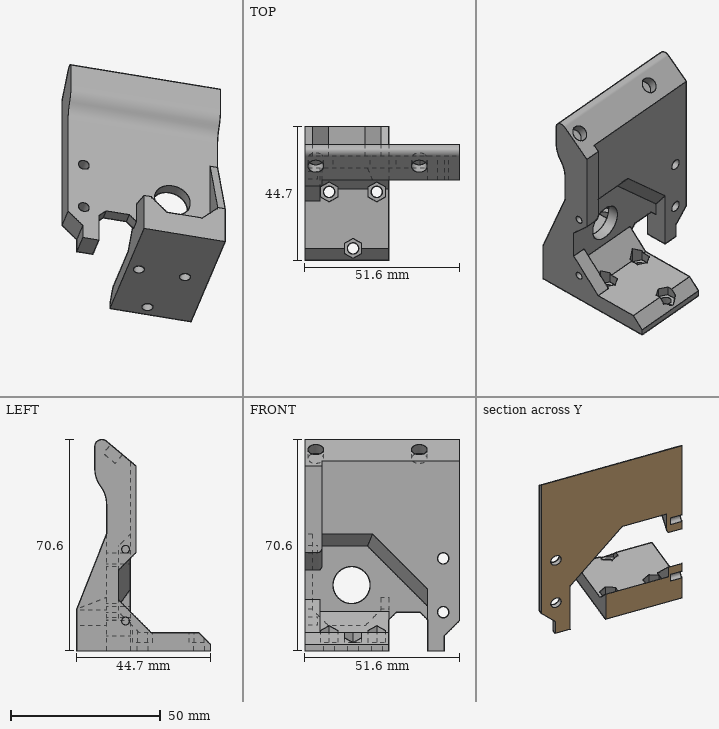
import cadquery as cq
import math

WIDTH = 51.6
DEPTH = 44.7
HEIGHT = 70.6

PLATE_FRONT = 26.75
PLATE_BACK = 34.7
HEAD_BACK = 38.7
HEAD_SLOPE = math.radians(40)
HEAD_ROUND = 2.4
S_CURVE_TOP = 60.85
S_CURVE_RADIUS = 9.9

POCKET_FLOOR = 30.8
POCKET_TOP = 39.05
POCKET_CORNER_X = 22.6
POCKET_RIGHT = 40.95

LEG_CHAMFER = 5.1
LEG_TIP_HEIGHT = 5.1
ARCH_TOP = 12.9
ARCH_CHAMFER = 2.5

FOOT_WIDTH = 28.0
FOOT_TOP = 6.15
FOOT_BEVEL = 3.95
FOOT_RAMP_START = 23.8
BUTTRESS_LOW = 14.0
BUTTRESS_HIGH = 39.1

UPPER_RIB_WIDTH = 5.7
LOWER_RIB_WIDTH = 5.15
RIB_FRONT = 24.85
UPPER_RIB_BOTTOM = 27.0
LOWER_RIB_TOP = 17.15
UPPER_RIB_ROUND = 1.1

TROUGH_LEFT = 2.6
TROUGH_RIGHT = 25.4
TROUGH_CHAMFER = 5.3
TROUGH_FLOOR = 8.5
SHOULDER_HIGH = 17.9

BORE_DIAMETER = 12.3
BORE_X = 15.6
BORE_Z = 22.0
SCREW_DIAMETER = 3.7
PLATE_HOLE_X = 46.2
PLATE_HOLE_HEIGHTS = (13.0, 30.9)
FOOT_HOLES = ((8.1, 22.8), (24.0, 22.8), (16.1, 3.95))
NUT_FLATS = 5.8
NUT_FLOOR = 2.9
HEAD_HOLE_DIAMETER = 5.2
HEAD_HOLE_DEPTH = 3.8
HEAD_HOLE_XS = (3.7, 38.2)
HEAD_HOLE_Z = 67.2
SIDE_HOLE_DIAMETER = 2.6
SIDE_HOLE_DEPTH = 4.25
SIDE_HOLE_Y = 28.4
SIDE_HOLE_HEIGHTS = (10.0, 33.95)


def side_sketch():
    """Plane on the left side, local axes along Y and Z, extruding toward +X."""
    return cq.Workplane("YZ")


def front_sketch(y):
    """Plane at depth y, local axes along X and Z, extruding toward -Y."""
    return cq.Workplane("XZ", origin=(0, y, 0))


round_y = HEAD_BACK - HEAD_ROUND
round_z = HEIGHT - HEAD_ROUND
slope_end_y = round_y - HEAD_ROUND * math.sin(HEAD_SLOPE)
slope_end_z = round_z + HEAD_ROUND * math.cos(HEAD_SLOPE)


def slope_z(y):
    return slope_end_z - (slope_end_y - y) * math.tan(HEAD_SLOPE)


def upright(front, bottom, width):
    """Slab from the left side with the sloped head and the S-curved back."""
    step = HEAD_BACK - PLATE_BACK
    half_rise = math.sqrt(S_CURVE_RADIUS * step - (step / 2) ** 2)
    return (
        side_sketch()
        .moveTo(front, bottom)
        .lineTo(front, slope_z(front))
        .lineTo(slope_end_y, slope_end_z)
        .threePointArc((round_y, HEIGHT), (HEAD_BACK, round_z))
        .lineTo(HEAD_BACK, S_CURVE_TOP)
        .radiusArc((HEAD_BACK - step / 2, S_CURVE_TOP - half_rise), S_CURVE_RADIUS)
        .radiusArc((PLATE_BACK, S_CURVE_TOP - 2 * half_rise), -S_CURVE_RADIUS)
        .lineTo(PLATE_BACK, bottom)
        .close()
        .extrude(width)
    )


def plate():
    """Full-width plate with its pocket, leg and arch."""
    body = upright(PLATE_FRONT, 0, WIDTH)

    pocket_depth = POCKET_FLOOR - PLATE_FRONT
    diagonal_end = POCKET_CORNER_X + 2 * POCKET_TOP
    pocket = (
        front_sketch(PLATE_FRONT)
        .polyline([
            (-WIDTH, POCKET_TOP),
            (POCKET_CORNER_X, POCKET_TOP),
            (diagonal_end, -POCKET_TOP),
            (-WIDTH, -POCKET_TOP),
        ])
        .close()
        .extrude(-pocket_depth, taper=45)
    )
    left_of_leg = cq.Workplane().box(POCKET_RIGHT, DEPTH, HEIGHT, centered=False)
    body = body.cut(pocket.intersect(left_of_leg))

    leg_right = WIDTH - LEG_CHAMFER
    leg_corner = (
        front_sketch(DEPTH)
        .polyline([
            (leg_right, 0),
            (leg_right, LEG_TIP_HEIGHT),
            (WIDTH, LEG_TIP_HEIGHT + LEG_CHAMFER),
            (WIDTH, 0),
        ])
        .close()
        .extrude(DEPTH)
    )
    arch_side = ARCH_TOP - ARCH_CHAMFER
    arch = (
        front_sketch(DEPTH)
        .polyline([
            (FOOT_WIDTH, 0),
            (FOOT_WIDTH, arch_side),
            (FOOT_WIDTH + ARCH_CHAMFER, ARCH_TOP),
            (POCKET_RIGHT - ARCH_CHAMFER, ARCH_TOP),
            (POCKET_RIGHT, arch_side),
            (POCKET_RIGHT, 0),
        ])
        .close()
        .extrude(DEPTH)
    )
    return body.cut(leg_corner).cut(arch)


def foot():
    """Foot with its ramp up to the plate and the sloped buttress behind."""
    ramp_top = FOOT_TOP + POCKET_FLOOR - FOOT_RAMP_START
    return (
        side_sketch()
        .polyline([
            (0, 0),
            (0, FOOT_TOP - FOOT_BEVEL),
            (FOOT_BEVEL, FOOT_TOP),
            (FOOT_RAMP_START, FOOT_TOP),
            (POCKET_FLOOR, ramp_top),
            (PLATE_BACK, ramp_top),
            (PLATE_BACK, BUTTRESS_HIGH),
            (DEPTH, BUTTRESS_LOW),
            (DEPTH, 0),
        ])
        .close()
        .extrude(FOOT_WIDTH)
    )


def upper_rib():
    """Rib beside the pocket, undercut at 45 degrees with its inner lower edge rounded."""
    rib = upright(RIB_FRONT, UPPER_RIB_BOTTOM, UPPER_RIB_WIDTH)
    rise = POCKET_FLOOR - RIB_FRONT
    corner = (
        side_sketch()
        .polyline([
            (RIB_FRONT, UPPER_RIB_BOTTOM),
            (RIB_FRONT, UPPER_RIB_BOTTOM + rise),
            (POCKET_FLOOR, UPPER_RIB_BOTTOM),
        ])
        .close()
        .extrude(UPPER_RIB_WIDTH)
    )
    middle = (UPPER_RIB_WIDTH, (RIB_FRONT + POCKET_FLOOR) / 2, UPPER_RIB_BOTTOM + rise / 2)
    return rib.cut(corner).edges(cq.NearestToPointSelector(middle)).fillet(UPPER_RIB_ROUND)


def lower_rib():
    """Rib along the left end of the foot ramp."""
    ramp_start = POCKET_FLOOR - (LOWER_RIB_TOP - FOOT_TOP)
    return (
        side_sketch()
        .polyline([
            (ramp_start, FOOT_TOP),
            (POCKET_FLOOR, LOWER_RIB_TOP),
            (POCKET_FLOOR, FOOT_TOP),
        ])
        .close()
        .extrude(LOWER_RIB_WIDTH)
    )


def trough():
    """Open-topped channel along Y with 45 degree lower corners."""
    corner_z = TROUGH_FLOOR + TROUGH_CHAMFER
    return (
        front_sketch(DEPTH)
        .polyline([
            (TROUGH_LEFT, BUTTRESS_HIGH),
            (TROUGH_LEFT, corner_z),
            (TROUGH_LEFT + TROUGH_CHAMFER, TROUGH_FLOOR),
            (TROUGH_RIGHT - TROUGH_CHAMFER, TROUGH_FLOOR),
            (TROUGH_RIGHT, corner_z),
            (TROUGH_RIGHT, BUTTRESS_HIGH),
        ])
        .close()
        .extrude(DEPTH - PLATE_BACK)
    )


def shoulder_relief():
    """Lowers the right wall of the trough to a shallow slope."""
    return (
        side_sketch()
        .polyline([
            (PLATE_BACK, SHOULDER_HIGH),
            (PLATE_BACK, BUTTRESS_HIGH),
            (DEPTH, BUTTRESS_HIGH),
            (DEPTH, BUTTRESS_LOW),
        ])
        .close()
        .extrude(FOOT_WIDTH - TROUGH_RIGHT)
        .translate((TROUGH_RIGHT, 0, 0))
    )


def plate_holes():
    """Bore above the foot and screw holes in the leg, all through along Y."""
    bore = front_sketch(DEPTH).center(BORE_X, BORE_Z).circle(BORE_DIAMETER / 2).extrude(DEPTH)
    screws = (
        front_sketch(DEPTH)
        .pushPoints([(PLATE_HOLE_X, z) for z in PLATE_HOLE_HEIGHTS])
        .circle(SCREW_DIAMETER / 2)
        .extrude(DEPTH)
    )
    return bore.union(screws)


def foot_holes():
    """Screw holes through the foot with hexagonal nut seats opening upward."""
    screws = cq.Workplane().pushPoints(FOOT_HOLES).circle(SCREW_DIAMETER / 2).extrude(FOOT_TOP)
    seats = (
        cq.Workplane(origin=(0, 0, NUT_FLOOR))
        .pushPoints(FOOT_HOLES)
        .polygon(6, NUT_FLATS, circumscribed=True)
        .extrude(FOOT_TOP)
    )
    return screws.union(seats)


def head_holes():
    """Blind holes square to the head slope."""
    hole_y = slope_end_y - (slope_end_z - HEAD_HOLE_Z) / math.tan(HEAD_SLOPE)
    inward = cq.Vector(0, math.sin(HEAD_SLOPE), -math.cos(HEAD_SLOPE))
    holes = cq.Workplane()
    for x in HEAD_HOLE_XS:
        mouth = cq.Vector(x, hole_y, HEAD_HOLE_Z)
        holes = holes.add(
            cq.Solid.makeCylinder(HEAD_HOLE_DIAMETER / 2, HEAD_HOLE_DEPTH, mouth, inward)
        )
    return holes.combine()


def side_holes():
    """Blind holes in the left side."""
    return (
        side_sketch()
        .pushPoints([(SIDE_HOLE_Y, z) for z in SIDE_HOLE_HEIGHTS])
        .circle(SIDE_HOLE_DIAMETER / 2)
        .extrude(SIDE_HOLE_DEPTH)
    )


result = plate().union(foot()).union(upper_rib()).union(lower_rib())
for cutter in (trough(), shoulder_relief(), plate_holes(), foot_holes(), head_holes(), side_holes()):
    result = result.cut(cutter)